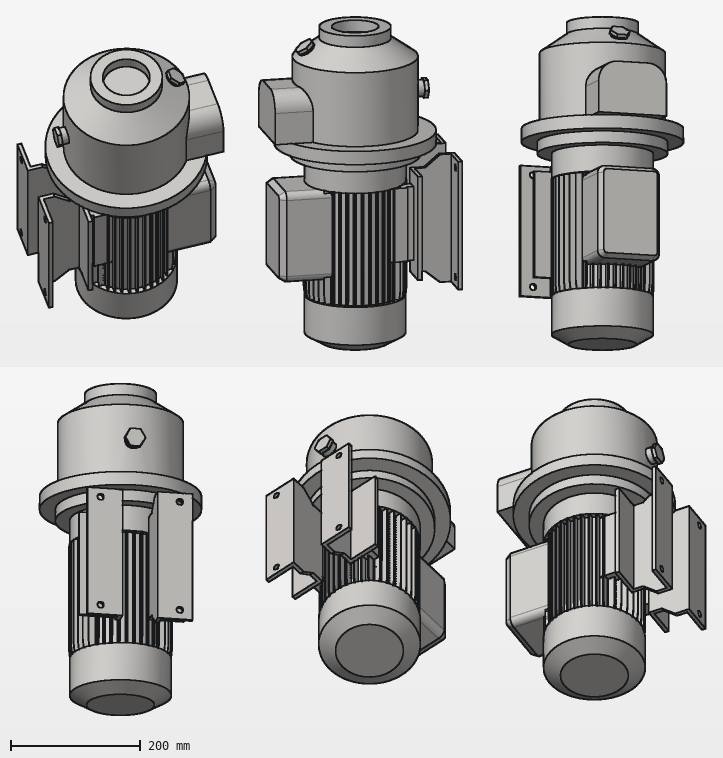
import cadquery as cq
import math


fan_cover_chamfer_top = 15.0
fan_cover_top = 75.5
fins_top = 257.5
motor_flange_bottom = 298.5
joint_height = 316.5
pump_flange_top = 337.5
shell_top = 455.5
collar_bottom = 485.0
collar_top = 503.0

fan_cover_end_radius = 52.5
motor_radius = 78.5
motor_flange_radius = 100.5
core_radius = 69.5

fin_thickness = 2.0
fin_offsets_and_reaches = [(6.0, 79.0), (17.5, 77.5), (28.5, 73.0), (38.5, 67.5), (47.5, 60.5)]
fin_taper_height = 14.0
fin_taper_depth = 1.5

box_half_width = 50.5
box_bottom = 113.0
box_top = fins_top
box_corner_radius = 11.5
box_end_y = 131.0
box_bevel_depth = 10.5
box_bevel_inset = 6.5

sheet = 6.5
foot_y = -150.5
mount_y = -80.0
web_inner_x = 27.5
foot_outer_x = 82.5
foot_bottom = 95.0
foot_top = 299.5
mount_bottom = 114.0
mount_top = 279.5
web_slope_start_y = -126.5
web_slope_end_y = -102.5
foot_hole_diameter = 10.0
foot_hole_x = 62.5
foot_hole_heights = [110.0, 285.0]

pad_bottom = 138.5
pad_top = 256.0
pad_inner_x = web_inner_x + sheet
pad_outer_x = 58.0
pad_step_y = -69.5
pad_step = 5.0

pump_flange_diameter = 250.0
pump_flange_radius = pump_flange_diameter / 2
shell_radius = 97.0
collar_radius = 55.5
inlet_radius = 36.0
inlet_depth = collar_top - collar_bottom

duct_half_width = collar_radius
duct_top = 418.5
duct_corner_radius = 30.5
duct_end_y = 140.0

plug_stem_radius = 13.0
plug_head_corners = 32.0
plug_head_thickness = 6.5
drain_height = 398.0
drain_reach = 113.5
vent_reach = 9.0


def box_between(x_range, y_range, z_range):
    """Block between two opposite corners, given as a pair of limits along each axis."""
    size = [high - low for low, high in (x_range, y_range, z_range)]
    corner = (x_range[0], y_range[0], z_range[0])
    return cq.Workplane("XY").box(*size, centered=False).translate(corner)


def motor_barrel():
    """Turned body: fan cover, finned core, front cylinder and mounting flange."""
    profile = [
        (0, 0),
        (fan_cover_end_radius, 0),
        (motor_radius, fan_cover_chamfer_top),
        (motor_radius, fan_cover_top),
        (core_radius, fan_cover_top),
        (core_radius, fins_top),
        (motor_radius, fins_top),
        (motor_radius, motor_flange_bottom),
        (motor_flange_radius, motor_flange_bottom),
        (motor_flange_radius, joint_height),
        (0, joint_height),
    ]
    return cq.Workplane("XZ").polyline(profile).close().revolve(360, (0, 0), (0, 1))


def fin_plate(offset, reach):
    """Plate parallel to the XZ plane with a fin tip at both ends, each drawn in near the fan cover."""
    taper_top = fan_cover_top + fin_taper_height
    outline = [
        (-reach + fin_taper_depth, fan_cover_top),
        (reach - fin_taper_depth, fan_cover_top),
        (reach, taper_top),
        (reach, fins_top),
        (-reach, fins_top),
        (-reach, taper_top),
    ]
    plate = cq.Workplane("XZ").polyline(outline).close().extrude(fin_thickness / 2, both=True)
    return plate.translate((0, offset, 0))


def add_fins(body):
    """Parallel fins on all four sides of the core."""
    for offset, reach in fin_offsets_and_reaches:
        for side in (-1, 1):
            plate = fin_plate(side * offset, reach)
            body = body.union(plate)
            body = body.union(plate.rotate((0, 0, 0), (0, 0, 1), 90))
    return body


def terminal_box():
    """Box with rounded long edges and a bevelled outer end."""
    height = box_top - box_bottom
    middle = (box_top + box_bottom) / 2
    bevel_start_y = box_end_y - box_bevel_depth
    bevel_angle = math.degrees(math.atan2(box_bevel_inset, box_bevel_depth))
    section = cq.Sketch().rect(2 * box_half_width, height).vertices().fillet(box_corner_radius)

    def place(y):
        return cq.Workplane(cq.Plane((0, y, middle), (-1, 0, 0), (0, 1, 0))).placeSketch(section)

    straight = place(0).extrude(bevel_start_y)
    bevelled_end = place(bevel_start_y).extrude(box_bevel_depth, taper=bevel_angle)
    return straight.union(bevelled_end)


def foot():
    """Foot on the +X side: mounting flange, web with sloped ends, and drilled foot plate."""
    web_outline = [
        (foot_y, foot_bottom),
        (web_slope_start_y, foot_bottom),
        (web_slope_end_y, mount_bottom),
        (mount_y, mount_bottom),
        (mount_y, mount_top),
        (web_slope_end_y, mount_top),
        (web_slope_start_y, foot_top),
        (foot_y, foot_top),
    ]
    web = cq.Workplane("YZ").workplane(offset=web_inner_x).polyline(web_outline).close().extrude(sheet)
    width = (web_inner_x, foot_outer_x)
    mount = box_between(width, (mount_y - sheet, mount_y), (mount_bottom, mount_top))
    plate = box_between(width, (foot_y, foot_y + sheet), (foot_bottom, foot_top))
    holes = (
        cq.Workplane("XZ", origin=(0, foot_y, 0))
        .pushPoints([(foot_hole_x, height) for height in foot_hole_heights])
        .circle(foot_hole_diameter / 2)
        .extrude(-sheet)
    )
    return web.union(mount).union(plate.cut(holes))


def foot_pad():
    """Pad on the +X side, narrower where it meets the foot."""
    heights = (pad_bottom, pad_top)
    base = box_between((pad_inner_x, pad_outer_x), (pad_step_y, 0), heights)
    contact = box_between((pad_inner_x, pad_outer_x - pad_step), (mount_y, pad_step_y), heights)
    return base.union(contact)


def make_motor():
    body = add_fins(motor_barrel())
    body = body.union(terminal_box())
    right_foot = foot_pad().union(foot())
    return body.union(right_foot).union(right_foot.mirror("YZ"))


def pump_shell():
    """Turned body: flange, cylindrical shell, cone and inlet collar."""
    profile = [
        (0, joint_height),
        (pump_flange_radius, joint_height),
        (pump_flange_radius, pump_flange_top),
        (shell_radius, pump_flange_top),
        (shell_radius, shell_top),
        (collar_radius, collar_bottom),
        (collar_radius, collar_top),
        (0, collar_top),
    ]
    return cq.Workplane("XZ").polyline(profile).close().revolve(360, (0, 0), (0, 1))


def outlet_duct():
    """Duct with rounded upper edges, from the axis of the pump to its +Y end."""
    width = (-duct_half_width, duct_half_width)
    duct = box_between(width, (0, duct_end_y), (pump_flange_top, duct_top))
    return duct.edges("|Y and >Z").fillet(duct_corner_radius)


def plug(head_end, direction, stem_length):
    """Hexagon plug whose head ends at head_end and whose stem runs back against direction."""
    plane = cq.Plane(head_end, (1, 0, 0), direction)
    head = cq.Workplane(plane).polygon(6, plug_head_corners).extrude(-plug_head_thickness)
    stem = cq.Workplane(plane).circle(plug_stem_radius).extrude(-stem_length)
    return head.union(stem)


def drain_plug():
    stem_length = drain_reach - shell_radius / 2
    return plug((0, -drain_reach, drain_height), (0, -1, 0), stem_length)


def vent_plug():
    """Plug standing square on the middle of the cone, on the +Y side."""
    cone_run = shell_radius - collar_radius
    cone_rise = collar_bottom - shell_top
    cone_length = math.hypot(cone_run, cone_rise)
    normal_y = cone_rise / cone_length
    normal_z = cone_run / cone_length
    head_y = (shell_radius + collar_radius) / 2 + vent_reach * normal_y
    head_z = (shell_top + collar_bottom) / 2 + vent_reach * normal_z
    stem_length = vent_reach + plug_stem_radius
    return plug((0, head_y, head_z), (0, normal_y, normal_z), stem_length)


def make_pump():
    body = pump_shell().union(outlet_duct())
    body = body.union(drain_plug()).union(vent_plug())
    inlet = cq.Workplane("XY", origin=(0, 0, collar_top)).circle(inlet_radius).extrude(-inlet_depth)
    return body.cut(inlet)


motor = make_motor()
pump = make_pump()

result = cq.Compound.makeCompound([motor.val(), pump.val()])